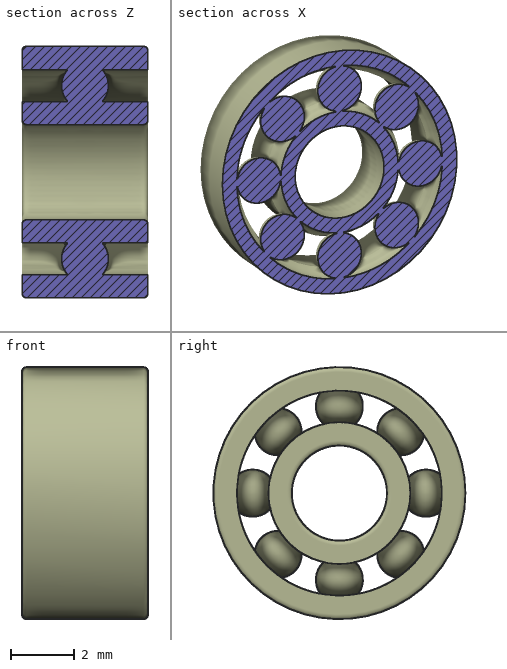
import cadquery as cq
import math

width = 4.0
outer_radius = 4.0
bore_radius = 1.5
outer_ring_inner_radius = 3.25
inner_ring_outer_radius = 2.25
edge_fillet = 0.15

ball_count = 8
ball_radius = 0.75
pitch_radius = (outer_ring_inner_radius + inner_ring_outer_radius) / 2
ball_overlap = 0.01
groove_radius = ball_radius - ball_overlap


def tube(outer, inner):
    """Plain ring along X, centred on the YZ plane."""
    return cq.Workplane("YZ", origin=(-width / 2, 0, 0)).circle(outer).circle(inner).extrude(width)


def edges_at_radius(ring, radius):
    """Circular edges of the given radius at both ends of a ring."""
    ends = ring.faces("<X or >X").edges("%CIRCLE")
    return ends.filter(lambda edge: math.isclose(edge.radius(), radius))


def rounded_ring(outer, inner, rounded_radius):
    ring = tube(outer, inner)
    return edges_at_radius(ring, rounded_radius).fillet(edge_fillet)


track = (
    cq.Workplane("XY")
    .center(0, pitch_radius)
    .circle(groove_radius)
    .revolve(360, (0, -pitch_radius), (1, -pitch_radius))
)

outer_ring = rounded_ring(outer_radius, outer_ring_inner_radius, outer_radius).cut(track)
inner_ring = rounded_ring(inner_ring_outer_radius, bore_radius, bore_radius).cut(track)

result = outer_ring.union(inner_ring)
for index in range(ball_count):
    angle = 2 * math.pi * index / ball_count
    centre = (0, pitch_radius * math.cos(angle), pitch_radius * math.sin(angle))
    result = result.union(cq.Workplane("XY").sphere(ball_radius).translate(centre))